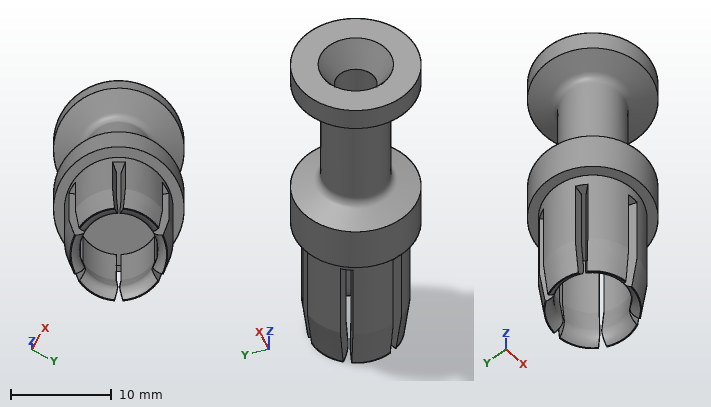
import cadquery as cq
import math

total_height = 37.0
collar_radius = 13.0 / 2
collar_bottom = 15.02
collar_top = 20.0
head_rim_height = 2.5
stem_radius = 3.495
shoulder_angle = math.radians(20)
stem_fillet = 1.0

sleeve_radius = 5.4
mouth_radius = 4.85
taper_height = 4.6
bore_radius = 4.25
bore_depth = 13.55
throat_top = 5.07
lip_radius = 3.9
lip_height = 1.8
lip_mid_radius = 4.1
lip_mid_height = 0.7
mouth_bore_radius = 4.75
slot_count = 6
slot_width = 1.3
slot_half_angle = math.radians(20)

countersink_radius = 3.75
hole_radius = 2.128
countersink_half_angle = math.radians(30)
hole_depth = 14.8
drill_half_angle = math.radians(59)

fillet_mid_angle = (math.pi / 2 - shoulder_angle) / 2
fillet_end_radius = stem_radius + stem_fillet * (1 - math.sin(shoulder_angle))
fillet_mid_radius = stem_radius + stem_fillet * (1 - math.cos(fillet_mid_angle))
cone_rise = (collar_radius - fillet_end_radius) * math.tan(shoulder_angle)
fillet_rise = stem_fillet * math.cos(shoulder_angle)
fillet_mid_drop = stem_fillet * math.sin(fillet_mid_angle)
stem_bottom = collar_top + cone_rise + fillet_rise
head_rim_bottom = total_height - head_rim_height
stem_top = head_rim_bottom - cone_rise - fillet_rise


def turned_body():
    return (
        cq.Workplane("XZ")
        .moveTo(0, 0)
        .lineTo(mouth_radius, 0)
        .lineTo(sleeve_radius, taper_height)
        .lineTo(sleeve_radius, collar_bottom)
        .lineTo(collar_radius, collar_bottom)
        .lineTo(collar_radius, collar_top)
        .lineTo(fillet_end_radius, collar_top + cone_rise)
        .threePointArc((fillet_mid_radius, stem_bottom - fillet_mid_drop), (stem_radius, stem_bottom))
        .lineTo(stem_radius, stem_top)
        .threePointArc(
            (fillet_mid_radius, stem_top + fillet_mid_drop),
            (fillet_end_radius, head_rim_bottom - cone_rise),
        )
        .lineTo(collar_radius, head_rim_bottom)
        .lineTo(collar_radius, total_height)
        .lineTo(0, total_height)
        .close()
        .revolve(360, (0, 0), (0, 1))
    )


def head_hole():
    countersink_depth = (countersink_radius - hole_radius) / math.tan(countersink_half_angle)
    hole_bottom = total_height - hole_depth
    tip = hole_bottom - hole_radius / math.tan(drill_half_angle)
    return (
        cq.Workplane("XZ")
        .moveTo(0, total_height)
        .lineTo(countersink_radius, total_height)
        .lineTo(hole_radius, total_height - countersink_depth)
        .lineTo(hole_radius, hole_bottom)
        .lineTo(0, tip)
        .close()
        .revolve(360, (0, 0), (0, 1))
    )


def sleeve_bore():
    """Bore that narrows to a lip and then flares out in a rounded mouth."""
    return (
        cq.Workplane("XZ")
        .moveTo(0, 0)
        .lineTo(mouth_bore_radius, 0)
        .threePointArc((lip_mid_radius, lip_mid_height), (lip_radius, lip_height))
        .lineTo(bore_radius, throat_top)
        .lineTo(bore_radius, bore_depth)
        .lineTo(0, bore_depth)
        .close()
        .revolve(360, (0, 0), (0, 1))
    )


def sleeve_slots():
    """Wedge slots that widen outward; slot_width is their width at the sleeve surface."""
    apex_radius = sleeve_radius - slot_width / 2 / math.tan(slot_half_angle)
    outer_half_width = (collar_radius - apex_radius) * math.tan(slot_half_angle)
    wedge = (
        cq.Workplane("XY")
        .polyline([(0, apex_radius), (outer_half_width, collar_radius), (-outer_half_width, collar_radius)])
        .close()
        .extrude(bore_depth)
    )
    slots = cq.Workplane("XY")
    for index in range(slot_count):
        slots = slots.add(wedge.rotate((0, 0, 0), (0, 0, 1), index * 360 / slot_count))
    return slots.combine()


result = turned_body().cut(head_hole()).cut(sleeve_bore()).cut(sleeve_slots())